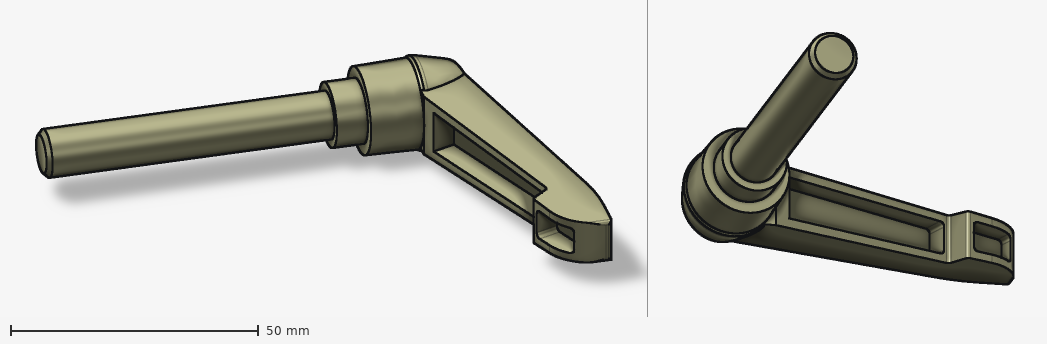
import cadquery as cq
import math


STUD_DIAMETER = 10.0
STUD_LENGTH = 60.0
STUD_CHAMFER = 1.0
COLLAR_DIAMETER = 13.5
COLLAR_HEIGHT = 6.5
HEAD_DIAMETER = 8.0
HEAD_TOP_Y = 28.6
HEAD_CHAMFER = 1.0

HUB_RADIUS = 9.75
SKIRT_BOTTOM_RADIUS = 9.1
SKIRT_TOP_RADIUS = 9.4
SKIRT_TOP_Y = 17.5
BAND_BOTTOM_Y = 18.2
BAND_TOP_Y = 19.0
CROWN_MID_RADIUS = 8.85
CROWN_MID_Y = 23.0
CROWN_TOP_RADIUS = 7.0
CROWN_TOP_Y = 29.0

ARM_REACH = 65.0
ARM_TOP_Y = 41.55
BACK_ANGLE = 15.0
BACK_Y_AT_AXIS = 27.1
UNDERSIDE_ANGLE = 20.0
UNDERSIDE_START_X = 9.3
NOTCH_X = 49.6
NOSE_START_X = 52.6
NOSE_DROP = 4.95
BACK_BEND_RADIUS = 35.0
NOTCH_FILLET = 0.8
NOSE_FILLET = 0.8
NOSE_RADIUS = 10.5
TIP_FILLET = 0.8

ARM_HALF_WIDTH_AT_AXIS = 7.0
ARM_TAPER_ANGLE = 2.1
TIP_SIDE_FILLET = 0.8

POCKET_DEPTH = 5.0
POCKET_CORNER_RADIUS = 1.0
LONG_POCKET_START_X = 12.5
LONG_POCKET_END_X = 48.5
LONG_POCKET_HALF_WIDTHS = (4.45, 3.45)
NOSE_POCKET_START_X = 53.9
NOSE_POCKET_END_X = 63.7
NOSE_POCKET_HALF_WIDTHS = (3.2, 2.9)

CUT_SIZE = 100.0

back_slope = math.tan(math.radians(BACK_ANGLE))
underside_slope = math.tan(math.radians(UNDERSIDE_ANGLE))


def back_y(x):
    """Height of the sloping back of the lever."""
    return BACK_Y_AT_AXIS + x * back_slope


def underside_y(x):
    """Height of the sloping underside of the lever."""
    return SKIRT_TOP_Y + (x - UNDERSIDE_START_X) * underside_slope


def nose_y(x):
    """Height of the nose face, parallel to the underside."""
    return underside_y(x) - NOSE_DROP


def cylinder_along_y(diameter, y_start, y_end):
    base = cq.Workplane("XZ", origin=(0, y_start, 0))
    return base.circle(diameter / 2).extrude(y_start - y_end)


def make_stud():
    stud = cylinder_along_y(STUD_DIAMETER, -STUD_LENGTH, COLLAR_HEIGHT)
    stud = stud.faces("<Y").chamfer(STUD_CHAMFER)
    return stud.union(cylinder_along_y(COLLAR_DIAMETER, 0, COLLAR_HEIGHT))


def make_head():
    head = cylinder_along_y(HEAD_DIAMETER, BAND_TOP_Y, HEAD_TOP_Y)
    return head.faces(">Y").chamfer(HEAD_CHAMFER)


def make_hub():
    """Revolved hub, sliced off along the back of the lever."""
    hub = (
        cq.Workplane("XY")
        .moveTo(0, COLLAR_HEIGHT)
        .lineTo(SKIRT_BOTTOM_RADIUS, COLLAR_HEIGHT)
        .lineTo(SKIRT_TOP_RADIUS, SKIRT_TOP_Y)
        .lineTo(HUB_RADIUS, BAND_BOTTOM_Y)
        .lineTo(HUB_RADIUS, BAND_TOP_Y)
        .threePointArc((CROWN_MID_RADIUS, CROWN_MID_Y), (CROWN_TOP_RADIUS, CROWN_TOP_Y))
        .lineTo(0, CROWN_TOP_Y)
        .close()
        .revolve(360, (0, 0, 0), (0, 1, 0))
    )
    above_back = (
        cq.Workplane("XY")
        .polyline([
            (-CUT_SIZE, back_y(-CUT_SIZE)),
            (CUT_SIZE, back_y(CUT_SIZE)),
            (-CUT_SIZE, back_y(CUT_SIZE)),
        ])
        .close()
        .extrude(CUT_SIZE / 2, both=True)
    )
    return hub.cut(above_back)


def fillet_profile_corner(body, x, y, radius):
    """Round the Z-parallel edge at the profile corner (x, y)."""
    return body.edges(cq.selectors.NearestToPointSelector((x, y, 0))).fillet(radius)


def make_arm():
    """Side profile of the lever trimmed to its tapering outline."""
    bend_x = (ARM_TOP_Y - BACK_Y_AT_AXIS) / back_slope
    notch_root = (NOTCH_X, underside_y(NOTCH_X))
    nose_corner = (NOSE_START_X, nose_y(NOSE_START_X))
    nose_end = (ARM_REACH, nose_y(ARM_REACH))
    tip_corner = (ARM_REACH, ARM_TOP_Y)
    back_bend = (bend_x, ARM_TOP_Y)
    corners = [
        (0, SKIRT_TOP_Y),
        (UNDERSIDE_START_X, SKIRT_TOP_Y),
        notch_root,
        nose_corner,
        nose_end,
        tip_corner,
        back_bend,
        (0, back_y(0)),
    ]
    arm = cq.Workplane("XY").polyline(corners).close().extrude(HUB_RADIUS, both=True)
    arm = fillet_profile_corner(arm, *notch_root, NOTCH_FILLET)
    arm = fillet_profile_corner(arm, *nose_corner, NOSE_FILLET)
    arm = fillet_profile_corner(arm, *nose_end, NOSE_RADIUS)
    arm = fillet_profile_corner(arm, *tip_corner, TIP_FILLET)
    arm = fillet_profile_corner(arm, *back_bend, BACK_BEND_RADIUS)

    tip_half_width = ARM_HALF_WIDTH_AT_AXIS - ARM_REACH * math.tan(math.radians(ARM_TAPER_ANGLE))
    outline = (
        cq.Workplane("XZ")
        .polyline([
            (0, -ARM_HALF_WIDTH_AT_AXIS),
            (ARM_REACH, -tip_half_width),
            (ARM_REACH, tip_half_width),
            (0, ARM_HALF_WIDTH_AT_AXIS),
        ])
        .close()
        .extrude(-CUT_SIZE)
        .edges("|Y and >X")
        .fillet(TIP_SIDE_FILLET)
    )
    return arm.intersect(outline)


def make_pocket(start_x, end_x, face_y, half_widths, round_start):
    """Tapered pocket sunk square to the face of height face_y(x).

    The corners at the lever tip end are always rounded, those at the hub end only if round_start.
    """
    length = (end_x - start_x) / math.cos(math.radians(UNDERSIDE_ANGLE))
    start_half_width, end_half_width = half_widths
    along_face = (1, underside_slope, 0)
    out_of_face = (underside_slope, -1, 0)
    face = cq.Plane(origin=(start_x, face_y(start_x), 0), xDir=along_face, normal=out_of_face)
    pocket = (
        cq.Workplane(face)
        .polyline([
            (0, -start_half_width),
            (length, -end_half_width),
            (length, end_half_width),
            (0, start_half_width),
        ])
        .close()
        .extrude(-POCKET_DEPTH)
    )
    end_walls = pocket if round_start else pocket.faces(">X")
    corner_edges = cq.selectors.ParallelDirSelector(cq.Vector(*out_of_face))
    return end_walls.edges(corner_edges).fillet(POCKET_CORNER_RADIUS)


long_pocket = make_pocket(
    LONG_POCKET_START_X, LONG_POCKET_END_X, underside_y, LONG_POCKET_HALF_WIDTHS, round_start=False
)
nose_pocket = make_pocket(
    NOSE_POCKET_START_X, NOSE_POCKET_END_X, nose_y, NOSE_POCKET_HALF_WIDTHS, round_start=True
)
arm = make_arm().cut(long_pocket).cut(nose_pocket)
result = make_hub().union(arm).union(make_stud()).union(make_head())